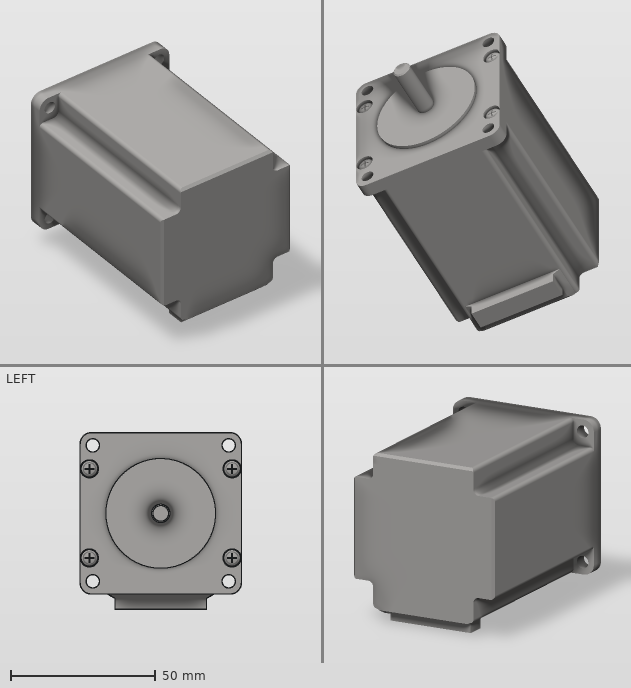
import cadquery as cq


pilot_front = 18.9
flange_front = 20.4
flange_back = 25.4
cap_front = 84.4
motor_back = 96.6

motor_width = 56.0
flange_corner_radius = 4.0
mount_hole_spacing = 47.1
mount_hole_diameter = 4.5

shaft_diameter = 6.4
shaft_tip_chamfer = 0.5
pilot_diameter = 38.1

notch_width = 8.1
notch_height = 9.6
notch_inner_radius = 2.0
notch_outer_radius = 1.45
back_chamfer = 1.0

cap_drop = 1.45
connector_length = 7.0
connector_width = 31.9
connector_bottom = -33.3

screw_spacing_y = 49.5
screw_spacing_z = 30.9
recess_diameter = 6.3
recess_depth = 2.6
head_diameter = 5.8
head_height = 2.3
rim_height = 1.2
rim_radius = 1.0
dome_diameter = 4.25
dome_height = 0.4
cross_length = 3.1
cross_width = 0.4
cross_depth = 0.8

half_width = motor_width / 2
wall_y = half_width - notch_width
wall_z = half_width - notch_height
cap_bottom = -half_width - cap_drop


def section(x):
    """Sketch plane across the shaft at X = x: local x is +Y, local y is +Z."""
    return cq.Workplane("YZ", origin=(x, 0, 0))


def cylinder(x_start, x_end, diameter):
    return section(x_start).circle(diameter / 2).extrude(x_end - x_start)


def make_shaft():
    shaft = cylinder(0, flange_front, shaft_diameter)
    return shaft.faces("<X").chamfer(shaft_tip_chamfer)


def make_flange():
    return (
        section(flange_front)
        .rect(motor_width, motor_width)
        .extrude(flange_back - flange_front)
        .edges("|X")
        .fillet(flange_corner_radius)
        .faces("<X")
        .workplane(origin=(flange_front, 0, 0))
        .rect(mount_hole_spacing, mount_hole_spacing, forConstruction=True)
        .vertices()
        .hole(mount_hole_diameter)
    )


def make_housing():
    """Cross-shaped housing: a square bar with a rounded notch along each corner."""
    length = motor_back - flange_back
    wide = section(flange_back).rect(motor_width, 2 * wall_z).extrude(length)
    tall = section(flange_back).rect(2 * wall_y, motor_width).extrude(length)
    cross = wide.union(tall)
    cross = cross.edges("|X").edges("not(<Y or >Y or <Z or >Z)").fillet(notch_inner_radius)
    return cross.edges("|X").edges("<Y or >Y or <Z or >Z").fillet(notch_outer_radius)


def make_cap_underside():
    """Pad under the rear cap, sloping out to the edges of the housing's flat underside."""
    pad_half_width = wall_y - notch_outer_radius
    return (
        section(cap_front)
        .moveTo(-connector_width / 2, cap_bottom)
        .lineTo(connector_width / 2, cap_bottom)
        .lineTo(pad_half_width, -half_width)
        .lineTo(pad_half_width, 0)
        .lineTo(-pad_half_width, 0)
        .lineTo(-pad_half_width, -half_width)
        .close()
        .extrude(motor_back - cap_front)
    )


def chamfer_back(part):
    """Trim a part to the chamfered back edges of the block that spans housing and cap."""
    envelope = (
        section(flange_back)
        .center(0, (half_width + cap_bottom) / 2)
        .rect(motor_width, half_width - cap_bottom)
        .extrude(motor_back - flange_back)
        .faces(">X")
        .chamfer(back_chamfer)
    )
    return part.intersect(envelope)


def make_connector():
    return (
        section(cap_front)
        .center(0, connector_bottom / 2)
        .rect(connector_width, -connector_bottom)
        .extrude(connector_length)
    )


def make_screw_head():
    """Domed head with a rounded rim and a cross recess, seated on X = 0 and facing -X."""
    head_radius = head_diameter / 2
    dome_radius = dome_diameter / 2
    dome_base = head_height - dome_height
    sphere_radius = (dome_radius**2 + dome_height**2) / (2 * dome_height)
    head = (
        cq.Workplane("XY")
        .lineTo(-head_height, 0)
        .radiusArc((-dome_base, dome_radius), sphere_radius)
        .radiusArc((-rim_height, head_radius), rim_radius)
        .lineTo(0, head_radius)
        .close()
        .revolve(360, (0, 0, 0), (1, 0, 0))
    )
    slot = section(-head_height).rect(cross_length, cross_width).extrude(cross_depth)
    return head.cut(slot).cut(slot.rotate((0, 0, 0), (1, 0, 0), 90))


body = make_flange()
body = body.union(chamfer_back(make_housing()))
body = body.union(chamfer_back(make_cap_underside()))
body = body.union(make_connector())
body = body.union(cylinder(pilot_front, flange_front, pilot_diameter))
body = body.union(make_shaft())

recess_floor = flange_front + recess_depth
recess = cylinder(flange_front, recess_floor, recess_diameter)
screw_head = make_screw_head()
for y in (-screw_spacing_y / 2, screw_spacing_y / 2):
    for z in (-screw_spacing_z / 2, screw_spacing_z / 2):
        body = body.cut(recess.translate((0, y, z)))
        body = body.union(screw_head.translate((recess_floor, y, z)))

result = body